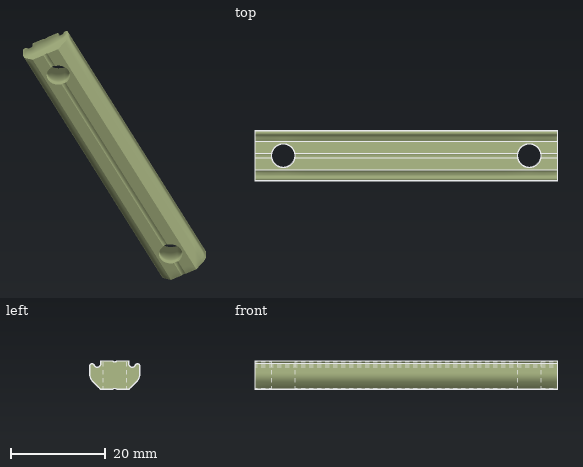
import cadquery as cq
import math

length = 64.0
width = 10.6
height = 6.0

crown_width = 6.0
lip_drop = 0.6
lip_radius = 0.5
side_groove_radius = 0.7
flank_blend_radius = 2.5
side_groove_spacing = 7.35
mark_width = 0.95
mark_depth = 0.2

hole_diameter = 4.9
hole_spacing = 52.0

half_width = width / 2
half_crown = crown_width / 2
half_mark = mark_width / 2

lip_y = half_width - lip_radius
lip_z = height - lip_drop - lip_radius
groove_y = side_groove_spacing / 2
radius_sum = lip_radius + side_groove_radius
groove_z = lip_z + math.sqrt(radius_sum**2 - (lip_y - groove_y) ** 2)
groove_end_z = groove_z - math.sqrt(side_groove_radius**2 - (groove_y - half_crown) ** 2)
join_y = lip_y + (groove_y - lip_y) * lip_radius / radius_sum
join_z = lip_z + (groove_z - lip_z) * lip_radius / radius_sum

flank_top_z = half_width - half_crown
blend_tangent = flank_blend_radius * math.tan(math.radians(22.5))
blend_drop = blend_tangent * math.sin(math.radians(45))
blend_centre_y = half_width - flank_blend_radius
blend_centre_z = flank_top_z + blend_tangent
blend_mid_y = blend_centre_y + flank_blend_radius * math.cos(math.radians(22.5))
blend_mid_z = blend_centre_z - flank_blend_radius * math.sin(math.radians(22.5))


def make_half_bar():
    """Extrude the +Y half of the section along X, without the centre grooves."""
    return (
        cq.Workplane("YZ")
        .moveTo(0, 0)
        .lineTo(half_crown, 0)
        .lineTo(half_width - blend_drop, flank_top_z - blend_drop)
        .threePointArc((blend_mid_y, blend_mid_z), (half_width, blend_centre_z))
        .lineTo(half_width, lip_z)
        .threePointArc((lip_y, lip_z + lip_radius), (join_y, join_z))
        .threePointArc((groove_y, groove_z - side_groove_radius), (half_crown, groove_end_z))
        .lineTo(half_crown, height)
        .lineTo(0, height)
        .close()
        .extrude(length / 2, both=True)
    )


def make_centre_groove(face_z, inward):
    """Round-bottomed groove cutter; inward is the Z direction into the bar."""
    return (
        cq.Workplane("YZ")
        .moveTo(-half_mark, face_z)
        .threePointArc((0, face_z + inward * mark_depth), (half_mark, face_z))
        .close()
        .extrude(length / 2, both=True)
    )


half_bar = make_half_bar()
bar = half_bar.union(half_bar.mirror("XZ")).clean()

bar = bar.cut(make_centre_groove(height, -1))
bar = bar.cut(make_centre_groove(0, 1))

holes = (
    cq.Workplane("XY")
    .pushPoints([(-hole_spacing / 2, 0), (hole_spacing / 2, 0)])
    .circle(hole_diameter / 2)
    .extrude(height)
)
result = bar.cut(holes)